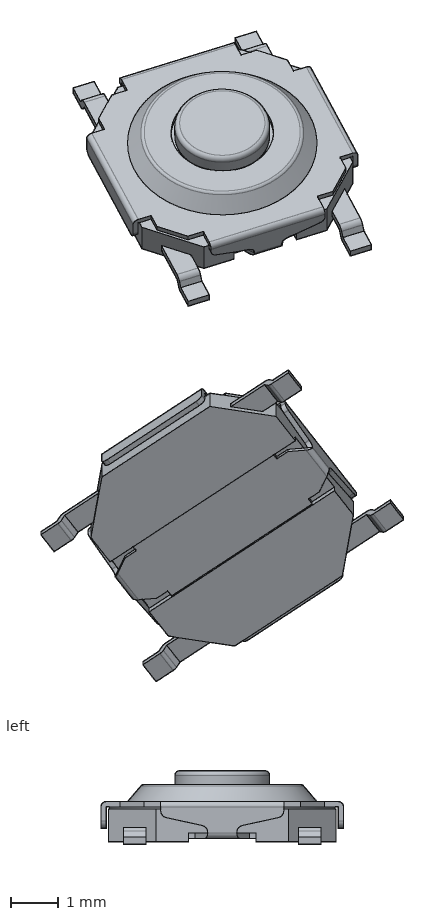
import cadquery as cq
import math


base_width = 4.79
base_corner_cut = 1.0
base_bottom = 0.05
base_top = 0.74
channel_width = 1.415
channel_top = 0.12
pocket_depth = 0.575

cover_width = 5.1
cover_top = 0.9
sheet = 0.115
cover_bottom = cover_top - sheet
flap_width = 2.585
flap_corner_radius = 0.15
plain_flap_bottom = 0.34
notch_x = 2.12
notch_y = 2.145
corner_clearance = 0.025

film_diameter = 4.75

hook_shoulder = 0.59
hook_neck_top = 0.37
hook_neck_width = 0.615
hook_tail_width = 1.14
hook_flare_length = 0.45

dome_base_diameter = 3.98
dome_top_diameter = 3.365
dome_top = 1.26
dome_edge_radius = 0.095
dome_hole_diameter = 2.15
button_diameter = 2.0
button_top = 1.55
button_edge_radius = 0.1

lead_span = 6.4
lead_width = 0.48
lead_spacing = 3.68
lead_thickness = 0.16
lead_rise = 0.2
lead_foot_length = 0.41
lead_slope = math.radians(59)
lead_top_bend_radius = 0.16
lead_foot_bend_radius = 0.1
lead_inner_end = 1.6


def cut_corner_slab(width, corner_cut, bottom, top):
    """Square slab with its four vertical corners cut at 45 degrees."""
    slab = cq.Workplane("XY").workplane(offset=bottom).rect(width, width).extrude(top - bottom)
    return slab.edges("|Z").chamfer(corner_cut)


def disc(diameter, bottom, top):
    return cq.Workplane("XY").workplane(offset=bottom).circle(diameter / 2).extrude(top - bottom)


def box_between(x_range, y_range, z_range):
    size = [high - low for low, high in (x_range, y_range, z_range)]
    corner = (x_range[0], y_range[0], z_range[0])
    return cq.Workplane("XY").box(*size, centered=False).translate(corner)


def both_sides(body):
    """The body together with its copy turned half a revolution about Z."""
    return body.union(body.rotate((0, 0, 0), (0, 0, 1), 180))


def make_base():
    base = cut_corner_slab(base_width, base_corner_cut, base_bottom, base_top)
    half_channel = channel_width / 2
    half_base = base_width / 2
    channel_y = (-half_channel, half_channel)
    channel = box_between((-half_base, half_base), channel_y, (base_bottom, channel_top))
    pocket = box_between(
        (-half_base, -half_base + pocket_depth), channel_y, (base_bottom, channel_top + sheet)
    )
    return base.cut(channel).cut(both_sides(pocket))


def make_cover_plate():
    """Flat top of the cover, notched beside each flap so that the flaps can bend."""
    corner_cut = base_corner_cut + cover_width - base_width + corner_clearance
    core = cut_corner_slab(cover_width, corner_cut, cover_bottom, cover_top)
    outline = (
        cq.Workplane("XY").workplane(offset=cover_bottom)
        .rect(2 * notch_x, 2 * notch_y).extrude(sheet)
    )
    return core.intersect(outline)


def make_plain_flaps():
    """Flaps on the Y sides, bent straight down with rounded lower corners."""
    half = cover_width / 2
    half_flap = flap_width / 2
    flap_x = (-half_flap, half_flap)
    wall = box_between(flap_x, (-half, sheet - half), (plain_flap_bottom, cover_top))
    wall = wall.edges("|Y and <Z").fillet(flap_corner_radius)
    strip = box_between(flap_x, (-half, -notch_y), (cover_bottom, cover_top))
    flap = wall.union(strip).edges("|X and <Y and >Z").fillet(sheet)
    return both_sides(flap)


def make_hook_flaps():
    """Flaps on the X sides, tapering to a neck whose flared tail folds under the base."""
    half = cover_width / 2
    half_flap = flap_width / 2
    half_neck = hook_neck_width / 2
    half_tail = hook_tail_width / 2
    wall = (
        cq.Workplane("YZ").workplane(offset=-half)
        .moveTo(-half_flap, cover_top)
        .lineTo(-half_flap, hook_shoulder)
        .lineTo(-half_neck, hook_neck_top)
        .lineTo(-half_neck, channel_top)
        .lineTo(half_neck, channel_top)
        .lineTo(half_neck, hook_neck_top)
        .lineTo(half_flap, hook_shoulder)
        .lineTo(half_flap, cover_top)
        .close().extrude(sheet)
    )
    taper_zone = cq.selectors.BoxSelector(
        (-cover_width, -cover_width, channel_top + sheet), (0, cover_width, cover_bottom)
    )
    wall = wall.edges("|X").edges(taper_zone).fillet(flap_corner_radius)
    strip = box_between((-half, -notch_x), (-half_flap, half_flap), (cover_bottom, cover_top))

    flare_end = -half + hook_flare_length
    tail_end = -base_width / 2 + pocket_depth
    tail = (
        cq.Workplane("XY").workplane(offset=channel_top)
        .moveTo(-half, -half_neck)
        .lineTo(flare_end, -half_tail)
        .lineTo(tail_end, -half_tail)
        .lineTo(tail_end, half_tail)
        .lineTo(flare_end, half_tail)
        .lineTo(-half, half_neck)
        .close().extrude(sheet)
    )
    flap = wall.union(strip).union(tail)
    flap = flap.edges("|Y and <X").fillet(sheet)
    return both_sides(flap)


def make_dome():
    dome = (
        cq.Workplane("XZ")
        .moveTo(0, cover_bottom)
        .lineTo(dome_base_diameter / 2, cover_bottom)
        .lineTo(dome_base_diameter / 2, cover_top)
        .lineTo(dome_top_diameter / 2, dome_top)
        .lineTo(0, dome_top)
        .close().revolve(360, (0, 0), (0, 1))
    )
    dome = dome.faces(">Z").edges().fillet(dome_edge_radius)
    return dome.cut(disc(dome_hole_diameter, dome_top - sheet, dome_top))


def make_button():
    button = disc(button_diameter, cover_top, button_top)
    return button.faces(">Z").edges().fillet(button_edge_radius)


def make_lead(y_center):
    """Lead on the -X side: foot, sloping riser and an upper run that enters the base."""
    outer_end = -lead_span / 2
    riser_run = lead_rise / math.tan(lead_slope)
    bend_shift = lead_thickness * math.tan(lead_slope / 2)
    upper_start = outer_end + lead_foot_length
    lower_start = upper_start + bend_shift
    lead = (
        cq.Workplane("XZ").workplane(offset=-y_center - lead_width / 2)
        .moveTo(outer_end, 0)
        .lineTo(lower_start, 0)
        .lineTo(lower_start + riser_run, lead_rise)
        .lineTo(-lead_inner_end, lead_rise)
        .lineTo(-lead_inner_end, lead_rise + lead_thickness)
        .lineTo(upper_start + riser_run, lead_rise + lead_thickness)
        .lineTo(upper_start, lead_thickness)
        .lineTo(outer_end, lead_thickness)
        .close().extrude(lead_width)
    )
    top_bend = (upper_start + riser_run, y_center, lead_rise + lead_thickness)
    foot_bend = (lower_start, y_center, 0)
    lead = lead.edges(cq.selectors.NearestToPointSelector(top_bend)).fillet(lead_top_bend_radius)
    return lead.edges(cq.selectors.NearestToPointSelector(foot_bend)).fillet(lead_foot_bend_radius)


base = make_base()
film = disc(film_diameter, base_top, cover_bottom)
cover = make_cover_plate().union(make_plain_flaps()).union(make_hook_flaps()).union(make_dome())
result = base.union(film).union(cover).union(make_button())
for lead_y in (-lead_spacing / 2, lead_spacing / 2):
    result = result.union(both_sides(make_lead(lead_y)))